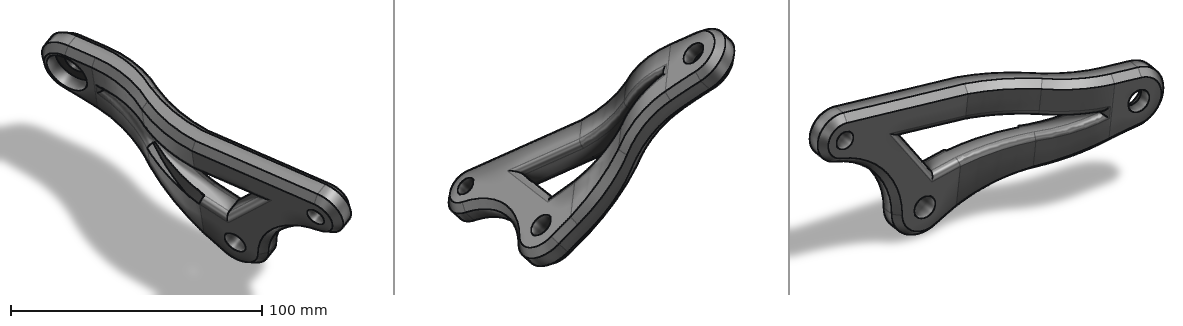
import cadquery as cq
import math

thickness = 12.0
end_offset = 17.4
bend_start = 12.9
bend_length = 58.8
lower_bend_radius = 73.8
edge_chamfer = 3.0

left_center = (0, 0)
left_radius = 13.8
right_center = (128.8, 17.2)
right_radius = 11.0
lower_center = (90.7, -27.5)
lower_radius = 13.8
lower_edge_radius = 218.2

pivot_hole = 10.0
right_hole = 8.0
counterbore_diameter = 19.0
counterbore_depth = 6.1

window_tip = (16.7, -0.2)
window_right = (101.7, 9.5)
window_bottom = (86.0, -13.4)
window_tip_width = 0.5
window_fillet = 2.9

margin = 30.7

wall_tolerance = 0.001
position_tolerance = 0.002
rim_slope_limit = 0.9


def toward(start, end, distance):
    """Point at a distance from start along the line to end."""
    span = math.dist(start, end)
    return tuple(a + (b - a) * distance / span for a, b in zip(start, end))


def polar(center, radius, angle):
    return (center[0] + radius * math.cos(angle), center[1] + radius * math.sin(angle))


boss_distance = math.dist(left_center, right_center)
top_slope = math.atan2(right_center[1], right_center[0]) - math.asin(
    (left_radius - right_radius) / boss_distance
)


def prism(sketch):
    """Extrude an XZ sketch through the full depth of the part."""
    return sketch.extrude(-(thickness + end_offset))


def outline():
    normal = top_slope + math.pi / 2
    top_left = polar(left_center, left_radius, normal)
    top_right = polar(right_center, right_radius, normal)

    dx = lower_center[0] + lower_radius - right_center[0]
    dz = lower_center[1] - right_center[1]
    hollow_radius = (dx**2 + dz**2 - right_radius**2) / (2 * (right_radius - dx))
    hollow_center = (lower_center[0] + lower_radius + hollow_radius, lower_center[1])
    hollow_top = toward(right_center, hollow_center, right_radius)
    hollow_bottom = toward(lower_center, hollow_center, lower_radius)
    hollow_chord = tuple((a + b) / 2 for a, b in zip(hollow_top, hollow_bottom))
    hollow_middle = toward(hollow_center, hollow_chord, hollow_radius)

    half_span = math.dist(left_center, lower_center) / 2
    span_middle = tuple((a + b) / 2 for a, b in zip(left_center, lower_center))
    span_angle = math.atan2(lower_center[1], lower_center[0])
    center_drop = math.sqrt((lower_edge_radius + lower_radius) ** 2 - half_span**2)
    under_center = polar(span_middle, center_drop, span_angle - math.pi / 2)
    under_right = toward(lower_center, under_center, lower_radius)
    under_left = toward(left_center, under_center, left_radius)
    under_middle = toward(under_center, span_middle, lower_edge_radius)

    return (
        cq.Workplane("XZ")
        .moveTo(*top_left)
        .lineTo(*top_right)
        .threePointArc(polar(right_center, right_radius, 0), hollow_top)
        .threePointArc(hollow_middle, hollow_bottom)
        .threePointArc(polar(lower_center, lower_radius, -math.pi / 4), under_right)
        .threePointArc(under_middle, under_left)
        .threePointArc(polar(left_center, left_radius, math.pi), top_left)
        .close()
    )


def bent_plate():
    """Strip of constant depth in Y with its bend lines square to the top edge."""
    half_angle = math.atan2(end_offset, bend_length)
    bend_angle = 2 * half_angle
    bend_radius = bend_length / (2 * math.sin(bend_angle))
    bend_end = bend_start + bend_length
    first_center = (bend_start, end_offset - bend_radius)
    strip_end = right_center[0] + margin
    up = math.pi / 2

    bend_upper = polar(first_center, bend_radius, up - half_angle)
    bend_middle = polar(first_center, bend_radius, up - bend_angle)
    bend_foot = (bend_end, 0)
    half_chord = math.dist(bend_middle, bend_foot) / 2
    sag = lower_bend_radius - math.sqrt(lower_bend_radius**2 - half_chord**2)
    chord_middle = tuple((a + b) / 2 for a, b in zip(bend_middle, bend_foot))
    bend_lower = polar(chord_middle, sag, -up - half_angle)

    def back(point):
        return (point[0], point[1] + thickness)

    profile = (
        cq.Workplane("XY")
        .moveTo(-margin, end_offset)
        .lineTo(bend_start, end_offset)
        .threePointArc(bend_upper, bend_middle)
        .threePointArc(bend_lower, bend_foot)
        .lineTo(strip_end, 0)
        .lineTo(*back((strip_end, 0)))
        .lineTo(*back(bend_foot))
        .threePointArc(back(bend_lower), back(bend_middle))
        .threePointArc(back(bend_upper), back((bend_start, end_offset)))
        .lineTo(*back((-margin, end_offset)))
        .close()
    )
    strip = profile.extrude(right_center[0], both=True)
    return strip.rotate((0, 0, 0), (0, 1, 0), -math.degrees(top_slope))


def through_hole(center, diameter):
    return prism(cq.Workplane("XZ").center(*center).circle(diameter / 2))


def wall_rims(body):
    """Long edges of the side walls, where they meet the two plate skins."""
    rims = []
    for wall in body.faces().vals():
        if abs(wall.normalAt().y) < wall_tolerance:
            rims += [edge for edge in wall.Edges() if abs(edge.tangentAt(0.5).y) < rim_slope_limit]
    return body.newObject(rims)


def on_side(edge, start, outward):
    """True for a rim edge lying over the line through start, square to outward."""
    middle = edge.positionAt(0.5)
    offset = (middle.x - start[0]) * math.cos(outward) + (middle.z - start[1]) * math.sin(outward)
    return abs(offset) < position_tolerance and abs(edge.tangentAt(0.5).y) < rim_slope_limit


def rounded_border(start, end):
    """Plate beyond one window side, with both rims along that side rounded."""
    reach = 2 * right_center[0]
    near = toward(start, end, -reach)
    far = toward(end, start, -reach)
    length = math.dist(near, far)
    outward = math.atan2(end[1] - start[1], end[0] - start[0]) + math.pi / 2
    corners = [near, far, polar(far, length, outward), polar(near, length, outward)]
    border = plate.intersect(prism(cq.Workplane("XZ").polyline(corners).close()))
    rims = [edge for edge in border.edges().vals() if on_side(edge, start, outward)]
    return border.newObject(rims).fillet(window_fillet)


plate = bent_plate()

bracket = plate.intersect(prism(outline()))
bracket = wall_rims(bracket).chamfer(edge_chamfer)

window_tip_low = polar(window_tip, window_tip_width, top_slope - math.pi / 2)
window_corners = [window_tip_low, window_tip, window_right, window_bottom]
opening = plate
for start, end in zip(window_corners, window_corners[1:] + window_corners[:1]):
    opening = opening.cut(rounded_border(start, end))
bracket = bracket.cut(opening)

counterbore = (
    cq.Workplane("XZ", origin=(0, end_offset, 0))
    .circle(counterbore_diameter / 2)
    .extrude(-counterbore_depth)
)
result = (
    bracket.cut(through_hole(left_center, pivot_hole))
    .cut(counterbore)
    .cut(through_hole(lower_center, pivot_hole))
    .cut(through_hole(right_center, right_hole))
)